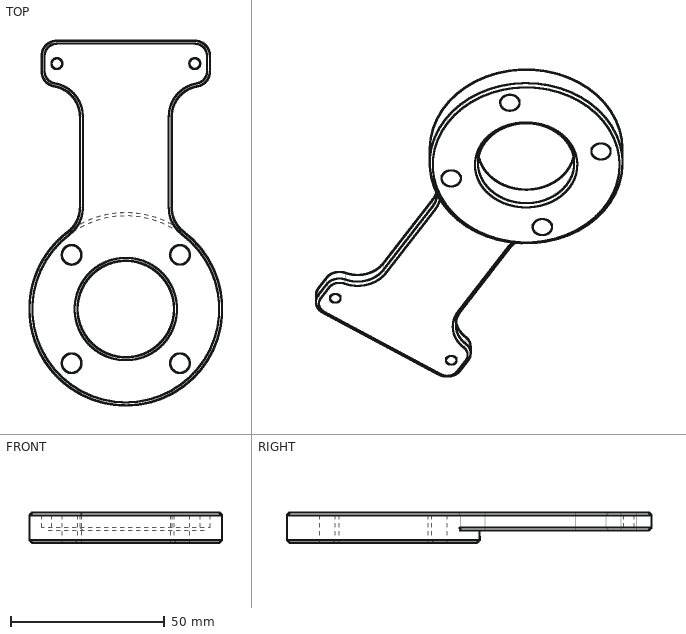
import cadquery as cq
import math

total_length = 119.0
ring_diameter = 63.0
ring_radius = ring_diameter / 2
ring_thickness = 10.0
bore_diameter = 31.4
bolt_spacing = 35.3
bolt_hole_diameter = 6.3

plate_thickness = 6.0
stem_half_width = 15.0
head_half_width = 27.5
corner_radius = 5.0
head_straight_side = 5.0
blend_radius = 10.0
head_hole_spacing = 45.0
head_hole_diameter = 3.5
head_hole_inset = 7.5
edge_chamfer = 1.0

head_end_y = total_length - ring_radius
plate_bottom_z = ring_thickness - plate_thickness

blend_x = stem_half_width + blend_radius
ring_blend_y = math.sqrt((ring_radius + blend_radius) ** 2 - blend_x**2)


def arc_point(center, radius, angle):
    """Point on a circle at an angle in radians."""
    return (center[0] + radius * math.cos(angle), center[1] + radius * math.sin(angle))


def mirrored(point):
    return (-point[0], point[1])


def make_plate():
    """Head, stem and the full ring outline, with tangent blends between them."""
    upper_corner = (head_half_width - corner_radius, head_end_y - corner_radius)
    lower_corner = (upper_corner[0], upper_corner[1] - head_straight_side)

    head_offset_x = blend_x - lower_corner[0]
    head_offset_y = math.sqrt((corner_radius + blend_radius) ** 2 - head_offset_x**2)
    head_blend = (blend_x, lower_corner[1] - head_offset_y)
    ring_blend = (blend_x, ring_blend_y)
    head_angle = math.atan2(head_offset_y, -head_offset_x)
    ring_angle = math.atan2(ring_blend[1], ring_blend[0])

    top_start = (upper_corner[0], head_end_y)
    top_mid = arc_point(upper_corner, corner_radius, math.pi / 4)
    top_end = (head_half_width, upper_corner[1])
    side_end = (head_half_width, lower_corner[1])
    low_mid = arc_point(lower_corner, corner_radius, (head_angle - math.pi) / 2)
    low_end = arc_point(lower_corner, corner_radius, head_angle - math.pi)
    head_mid = arc_point(head_blend, blend_radius, (head_angle + math.pi) / 2)
    stem_start = (stem_half_width, head_blend[1])
    stem_end = (stem_half_width, ring_blend[1])
    ring_mid = arc_point(ring_blend, blend_radius, math.pi + ring_angle / 2)
    ring_start = arc_point((0, 0), ring_radius, ring_angle)

    outline = (
        cq.Workplane("XY", origin=(0, 0, plate_bottom_z))
        .moveTo(*top_start)
        .threePointArc(top_mid, top_end)
        .lineTo(*side_end)
        .threePointArc(low_mid, low_end)
        .threePointArc(head_mid, stem_start)
        .lineTo(*stem_end)
        .threePointArc(ring_mid, ring_start)
        .threePointArc((0, -ring_radius), mirrored(ring_start))
        .threePointArc(mirrored(ring_mid), mirrored(stem_end))
        .lineTo(*mirrored(stem_start))
        .threePointArc(mirrored(head_mid), mirrored(low_end))
        .threePointArc(mirrored(low_mid), mirrored(side_end))
        .lineTo(*mirrored(top_end))
        .threePointArc(mirrored(top_mid), mirrored(top_start))
        .close()
    )
    return outline.extrude(plate_thickness).faces("<Z or >Z").chamfer(edge_chamfer)


def make_ring():
    """Full-thickness disc, chamfered at both rims."""
    disc = cq.Workplane("XY").circle(ring_radius).extrude(ring_thickness)
    return disc.faces("<Z or >Z").chamfer(edge_chamfer)


def make_arm_sector():
    """Wedge from the ring axis through the tangent points, holding everything on the arm side."""
    reach = total_length / ring_radius
    right_end = (reach * blend_x, reach * ring_blend_y)
    sector = cq.Workplane("XY").polyline([(0, 0), right_end, mirrored(right_end)]).close()
    return sector.extrude(ring_thickness)


def make_bore():
    """Cutter for the centre bore, flared at both ends for its chamfers."""
    bore_radius = bore_diameter / 2
    flare_radius = bore_radius + edge_chamfer
    profile = [
        (0, 0),
        (flare_radius, 0),
        (bore_radius, edge_chamfer),
        (bore_radius, ring_thickness - edge_chamfer),
        (flare_radius, ring_thickness),
        (0, ring_thickness),
    ]
    return cq.Workplane("XZ").polyline(profile).close().revolve(360, (0, 0), (0, 1))


def make_holes():
    """Cutters for the four ring bolt holes and the two head holes."""
    bolt_holes = (
        cq.Workplane("XY")
        .rect(bolt_spacing, bolt_spacing, forConstruction=True)
        .vertices()
        .circle(bolt_hole_diameter / 2)
        .extrude(ring_thickness)
    )
    head_hole_y = head_end_y - head_hole_inset
    head_holes = (
        cq.Workplane("XY")
        .pushPoints([(side * head_hole_spacing / 2, head_hole_y) for side in (-1, 1)])
        .circle(head_hole_diameter / 2)
        .extrude(ring_thickness)
    )
    return bolt_holes.add(head_holes).combine()


ring = make_ring()
sector = make_arm_sector()
arm = make_plate().intersect(sector)
lower_layer = cq.Workplane("XY").circle(total_length).extrude(plate_bottom_z)
under_arm = ring.intersect(sector).intersect(lower_layer)
body = arm.union(under_arm).union(ring.cut(sector))
result = body.cut(make_bore()).cut(make_holes())